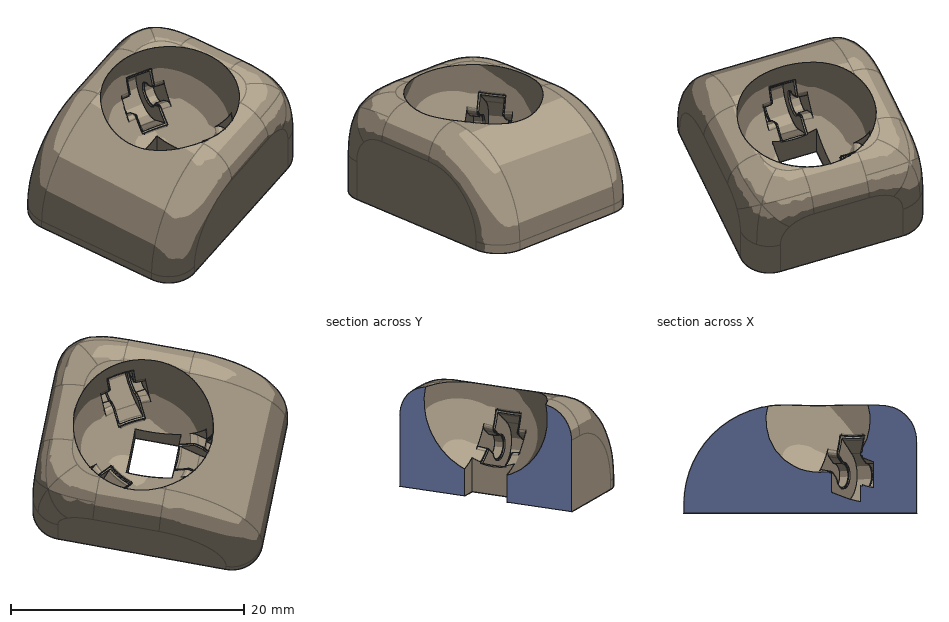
import cadquery as cq
import math

LENGTH_X = 16.54
LENGTH_Y = 20.0
HEIGHT = 9.3
FRONT_ARC_RADIUS = 8.5
TOP_FILLET = 2.87
VERTICAL_FILLET = 2.65
SETBACK = 5.73
BLEND_FULLNESS = 0.6
POLE_DEPTH = 1.5

BALL_Y = 1.53
BALL_Z = 8.0
SOCKET_RADIUS = 6.1
WINDOW_X = 4.05
WINDOW_Y = 4.0
WINDOW_OFFSET_Y = -0.95

SEAT_ANGLES = (30, 150, 270)
SEAT_TILT = 37.5
AXLE_DISTANCE = 7.8
ROLLER_DIAMETER = 4.7
ROLLER_WIDTH = 2.13
RIM_WIDTH = 2.42
RIM_DEPTH = 0.12
RIM_HEIGHT = 5.1
AXLE_DIAMETER = 2.05
AXLE_NECK = 1.56
AXLE_LENGTH = 4.05
LIP_RADIUS = 0.5

HALF_X = LENGTH_X / 2
HALF_Y = LENGTH_Y / 2


def make_profile_block():
    """Side profile with the large front arc, extruded across the full width."""
    arc_bottom = HEIGHT - FRONT_ARC_RADIUS
    arc_back = -HALF_Y + FRONT_ARC_RADIUS
    diagonal = FRONT_ARC_RADIUS * math.sqrt(0.5)
    return (
        cq.Workplane("YZ")
        .moveTo(HALF_Y, 0)
        .lineTo(HALF_Y, HEIGHT)
        .lineTo(arc_back, HEIGHT)
        .threePointArc((arc_back - diagonal, arc_bottom + diagonal), (-HALF_Y, arc_bottom))
        .lineTo(-HALF_Y, 0)
        .close()
        .extrude(HALF_X, both=True)
    )


def cut_rear_corners(block):
    """Remove a cube at both rear top corners, where the corner blends go."""
    for side in (-1, 1):
        cube = cq.Workplane("XY").box(SETBACK, SETBACK, SETBACK).translate(
            (side * (HALF_X - SETBACK / 2), HALF_Y - SETBACK / 2, HEIGHT - SETBACK / 2)
        )
        block = block.cut(cube)
    return block


def fillet_edges(block):
    """Round the rear edges, then the side edges, whose radius shrinks along the front arc."""
    rear_edge_points = [((0, HALF_Y, HEIGHT), TOP_FILLET)]
    for side in (-1, 1):
        rear_edge_points.append(((side * HALF_X, HALF_Y, 0), VERTICAL_FILLET))
    for point, radius in rear_edge_points:
        candidates = block.edges("|X" if point[0] == 0 else "|Z")
        block = candidates.edges(cq.selectors.NearestToPointSelector(point)).fillet(radius)

    maker = cq.occ_impl.shapes.BRepFilletAPI_MakeFillet(block.val().wrapped)
    for side in (-1, 1):
        arc_selector = cq.selectors.NearestToPointSelector((side * HALF_X, -HALF_Y, HEIGHT))
        front_arc = block.edges("%CIRCLE").edges(arc_selector).val()
        maker.Add(front_arc.wrapped)
    for contour in range(1, maker.NbContours() + 1):
        for index in range(1, maker.NbEdges(contour) + 1):
            edge = cq.Edge(maker.Edge(contour, index))
            if edge.geomType() == "LINE":
                is_top_edge = edge.Center().z > HEIGHT / 2
                maker.SetRadius(TOP_FILLET if is_top_edge else VERTICAL_FILLET, contour, index)
    return cq.Workplane(cq.Shape.cast(maker.Shape()))


def corner_point(distances):
    """Point of the left rear top corner, given its distances inward along X, Y and Z."""
    inward_x, inward_y, inward_z = distances
    return cq.Vector(inward_x - HALF_X, HALF_Y - inward_y, HEIGHT - inward_z)


def corner_direction(distances):
    """Direction at the left rear top corner, given inward components along X, Y and Z."""
    return corner_point(distances) - corner_point((0, 0, 0))


def along_axes(first_axis, first, second_axis, second, rest=0.0):
    """Triple with two components set by axis number and the third set to rest."""
    values = [rest, rest, rest]
    values[first_axis] = first
    values[second_axis] = second
    return values


def blend(a, b, ratio):
    """Triple part of the way from a to b."""
    return [p + (q - p) * ratio for p, q in zip(a, b)]


def split_corner_curve(start, apex, end, fullness):
    """Two Bezier halves of a corner curve, and the corner distances of the point they share."""
    handle_1 = blend(start, apex, fullness)
    handle_2 = blend(end, apex, fullness)
    first = blend(start, handle_1, 0.5)
    last = blend(handle_2, end, 0.5)
    top = blend(handle_1, handle_2, 0.5)
    before = blend(first, top, 0.5)
    after = blend(top, last, 0.5)
    middle = blend(before, after, 0.5)
    halves = []
    for poles in ((start, first, before, middle), (middle, after, last, end)):
        halves.append(cq.Edge.makeBezier([corner_point(p) for p in poles]))
    return halves, middle


def split_quarter_arc(axis, left, right, radius):
    """Two halves of the arc where an edge fillet ends, and the corner distances of their joint."""
    def arc_point(degrees):
        return along_axes(
            left, radius * (1 - math.cos(math.radians(degrees))),
            right, radius * (1 - math.sin(math.radians(degrees))), SETBACK,
        )

    halves = []
    for first in (0, 45):
        points = [corner_point(arc_point(first + step)) for step in (0, 22.5, 45)]
        halves.append(cq.Edge.makeThreePointArc(*points))
    return halves, arc_point(45)


def line(a, b):
    """Straight edge between two points given by their corner distances."""
    return cq.Edge.makeLine(corner_point(a), corner_point(b))


def make_corner_blend():
    """Cube for the left rear top corner, its outer corner rounded by six patches round a pole."""
    fillet_radii = (TOP_FILLET, TOP_FILLET, VERTICAL_FILLET)
    pole = (POLE_DEPTH, POLE_DEPTH, POLE_DEPTH)
    inner_corner = (SETBACK, SETBACK, SETBACK)
    faces = []
    halves_at = {}
    spokes = {}

    for axis in range(3):
        left, right = (axis + 1) % 3, (axis + 2) % 3

        radius = fillet_radii[axis]
        start = along_axes(axis, SETBACK, right, radius)
        end = along_axes(axis, SETBACK, left, radius)
        halves, middle = split_quarter_arc(axis, left, right, radius)
        halves_at["end", axis, left], halves_at["end", axis, right] = halves
        leave = along_axes(axis, -1, left, 0)
        towards_pole = along_axes(axis, -2, left, 1, 1)
        spokes["end", axis] = cq.Edge.makeSpline(
            [corner_point(middle), corner_point(pole)],
            tangents=[corner_direction(leave), corner_direction(towards_pole)],
        )
        left_far = along_axes(axis, SETBACK, left, SETBACK)
        right_far = along_axes(axis, SETBACK, right, SETBACK)
        outline = halves + [line(end, left_far), line(left_far, inner_corner)]
        outline += [line(inner_corner, right_far), line(right_far, start)]
        faces.append(cq.Face.makeFromWires(cq.Wire.assembleEdges(outline)))

        start = along_axes(left, SETBACK, right, fillet_radii[left])
        end = along_axes(right, SETBACK, left, fillet_radii[right])
        apex = along_axes(left, fillet_radii[right], right, fillet_radii[left])
        halves, middle = split_corner_curve(start, apex, end, BLEND_FULLNESS)
        halves_at["side", axis, left], halves_at["side", axis, right] = halves
        leave = along_axes(left, -1, right, -1)
        towards_pole = along_axes(axis, 2, left, -1, -1)
        spokes["side", axis] = cq.Edge.makeSpline(
            [corner_point(middle), corner_point(pole)],
            tangents=[corner_direction(leave), corner_direction(towards_pole)],
        )
        far = along_axes(left, SETBACK, right, SETBACK)
        outline = halves + [line(end, far), line(far, start)]
        faces.append(cq.Face.makeFromWires(cq.Wire.assembleEdges(outline)))

    for axis in range(3):
        for side in ((axis + 1) % 3, (axis + 2) % 3):
            boundary = [
                halves_at["end", axis, side],
                halves_at["side", side, axis],
                spokes["side", side],
                spokes["end", axis],
            ]
            faces.append(cq.Face.makeNSidedSurface(boundary, []))
    return cq.Workplane(cq.Solid.makeSolid(cq.Shell.makeShell(faces)))


def make_housing():
    """Rounded housing with both rear corner blends in place."""
    housing = fillet_edges(cut_rear_corners(make_profile_block()))
    corner = make_corner_blend()
    return housing.union(corner).union(corner.mirror("YZ")).clean()


def cut_socket(housing):
    """Spherical ball seat and the rectangular window below it."""
    ball = cq.Workplane("XY").sphere(SOCKET_RADIUS).translate((0, BALL_Y, BALL_Z))
    window = (
        cq.Workplane("XY")
        .center(0, BALL_Y + WINDOW_OFFSET_Y)
        .rect(WINDOW_X, WINDOW_Y)
        .extrude(BALL_Z)
    )
    return housing.cut(ball).cut(window)


def make_bar(length, width, height):
    """Box that starts at the ball centre and runs along +X."""
    return cq.Workplane("XY").box(length, width, height).translate((length / 2, 0, 0))


def make_slot(mouth_height, width, lip_radius=LIP_RADIUS):
    """Flat-walled slot from the ball centre to the axle, its mouth rounded against the socket.

    The slot runs along +X and is centred on the XZ plane. Its lips are rings about Z, which
    touch both the flat walls and the socket sphere.
    """
    half = mouth_height / 2
    lip_z = half + lip_radius
    lip_x = math.sqrt((SOCKET_RADIUS + lip_radius) ** 2 - lip_z**2)
    lip_slope = math.atan2(lip_z, lip_x)
    touch_x = SOCKET_RADIUS * math.cos(lip_slope)
    touch_z = SOCKET_RADIUS * math.sin(lip_slope)
    middle_angle = (lip_slope + math.pi + 1.5 * math.pi) / 2
    middle_x = lip_x + lip_radius * math.cos(middle_angle)
    middle_z = lip_z + lip_radius * math.sin(middle_angle)
    mouth = (
        cq.Workplane("XZ")
        .moveTo(0, -touch_z)
        .lineTo(touch_x, -touch_z)
        .threePointArc((middle_x, -middle_z), (lip_x, -half))
        .lineTo(lip_x, half)
        .threePointArc((middle_x, middle_z), (touch_x, touch_z))
        .lineTo(0, touch_z)
        .close()
        .revolve(360, (0, 0), (0, 1))
    )
    reach = make_bar(AXLE_DISTANCE, width, 2 * touch_z)
    walls = make_bar(AXLE_DISTANCE, width, mouth_height)
    return mouth.intersect(reach).union(walls)


def make_cylinder(diameter, width):
    """Cylinder round the axle, centred on the XZ plane."""
    return cq.Workplane("XZ").center(AXLE_DISTANCE, 0).circle(diameter / 2).extrude(width / 2, both=True)


def make_roller_seat():
    """Cutters of a roller slot, a snap-in axle slot across it and a shallow rim along both."""
    near_socket = cq.Workplane("XY").sphere(SOCKET_RADIUS + RIM_DEPTH)
    roller_rim = make_bar(2 * SOCKET_RADIUS, RIM_WIDTH, RIM_HEIGHT)
    return [
        make_slot(ROLLER_DIAMETER, ROLLER_WIDTH),
        make_cylinder(ROLLER_DIAMETER, ROLLER_WIDTH),
        make_slot(AXLE_NECK, AXLE_LENGTH),
        make_cylinder(AXLE_DIAMETER, AXLE_LENGTH),
        roller_rim.intersect(near_socket),
        make_slot(AXLE_NECK + 2 * RIM_DEPTH, RIM_WIDTH, LIP_RADIUS - RIM_DEPTH),
        make_cylinder(AXLE_DIAMETER + 2 * RIM_DEPTH, RIM_WIDTH),
    ]


def cut_roller_seats(housing):
    """Three seats round the socket, tilted down from the ball centre."""
    for cutter in make_roller_seat():
        tilted = cutter.rotate((0, 0, 0), (0, 1, 0), SEAT_TILT)
        for angle in SEAT_ANGLES:
            placed = tilted.rotate((0, 0, 0), (0, 0, 1), angle).translate((0, BALL_Y, BALL_Z))
            housing = housing.cut(placed)
    return housing


result = cut_roller_seats(cut_socket(make_housing()))